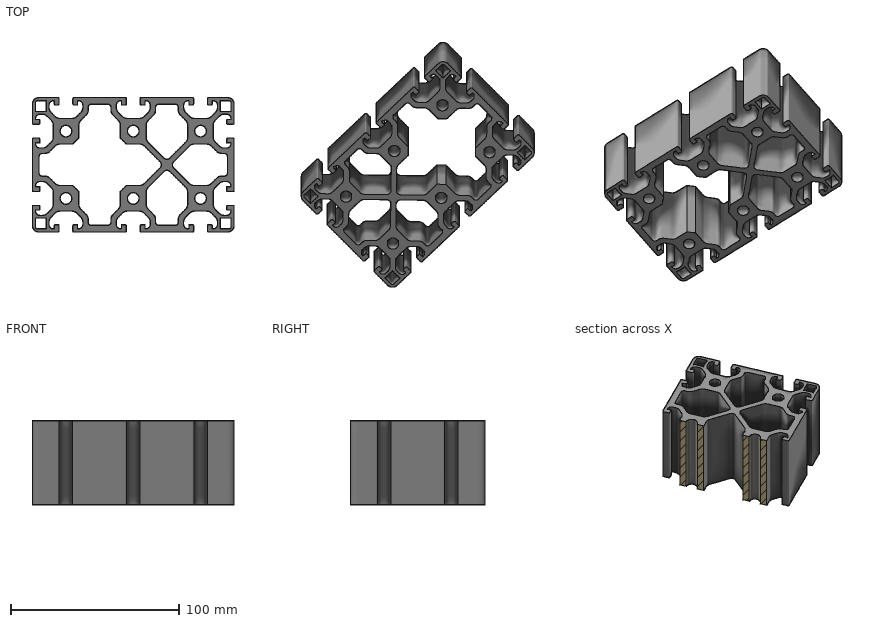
import cadquery as cq
import math

pitch = 40.0
columns = 3
rows = 2
width = columns * pitch
depth = rows * pitch
length = 50.0
half_pitch = pitch / 2
corner_radius = 4.0

slot_half_width = 4.05
slot_depth = 12.4
lip_depth = 4.5
lip_radius = 0.8
lip_outer_half_width = 7.0
skin = 2.0
undercut_half_width = 10.0
undercut_radius = 2.5
slot_floor_radius = 4.0
slot_flank_offset = 2.3

core_half = 7.75
core_hole_diameter = 6.8
core_chamfer = 3.7
web_thickness = 3.2
web_offset = web_thickness / math.sqrt(2)

wall = 4.1
cavity_half_width = half_pitch - core_half
cavity_end_half_width = 6.7
cavity_flank_offset = 2.5
cavity_end_radius = 1.8
cavity_bend_radius = 4.0
apex_radius = 2.6

tube_side = 6.25
tube_radius = 1.0


def flat(vector):
    """The (x, y) pair of a vector."""
    return (vector.x, vector.y)


def rounded_prism(corners):
    """Extrude a closed outline of (x, y, radius) corners joined by straight sides."""
    stretches = []
    for i, (x, y, radius) in enumerate(corners):
        here = cq.Vector(x, y)
        if radius == 0:
            stretches.append((here,))
            continue
        before_x, before_y, _ = corners[i - 1]
        after_x, after_y, _ = corners[(i + 1) % len(corners)]
        back = (cq.Vector(before_x, before_y) - here).normalized()
        ahead = (cq.Vector(after_x, after_y) - here).normalized()
        half_angle = back.getAngle(ahead) / 2
        to_tangent = radius / math.tan(half_angle)
        to_middle = radius / math.sin(half_angle) - radius
        middle = here + (back + ahead).normalized() * to_middle
        stretches.append((here + back * to_tangent, middle, here + ahead * to_tangent))

    path = cq.Workplane("XY").moveTo(*flat(stretches[0][-1]))
    for stretch in stretches[1:] + stretches[:1]:
        path = path.lineTo(*flat(stretch[0]))
        if len(stretch) > 1:
            path = path.threePointArc(flat(stretch[1]), flat(stretch[2]))
    return path.close().extrude(length)


def mirrored(side):
    """The -X image of a half outline, in reverse order so that it can follow the +X half."""
    return [(-x, y, radius) for x, y, radius in reversed(side)]


def placed(shape, x, y, angle):
    """Turn a shape about the Z axis, then move it to (x, y)."""
    return shape.rotate((0, 0, 0), (0, 0, 1), angle).translate((x, y, 0))


def slot_side(inner_lip_radius):
    """+X half of a T-slot whose face lies on Y = 0, running from mouth to floor."""
    flank_sum = half_pitch - slot_flank_offset
    mouth_edge = slot_half_width + 2 * lip_radius
    return [
        (mouth_edge, 0, 0),
        (slot_half_width, 0, lip_radius),
        (slot_half_width, -lip_depth, lip_radius),
        (lip_outer_half_width, -lip_depth, inner_lip_radius),
        (lip_outer_half_width, -skin, 0),
        (undercut_half_width, -skin, undercut_radius),
        (undercut_half_width, undercut_half_width - flank_sum, slot_floor_radius),
        (flank_sum - slot_depth, -slot_depth, slot_floor_radius),
    ]


def slot(left_lip_radius, right_lip_radius):
    """T-slot cutter open towards +Y; the radii round the inner edges of its two lips."""
    right_side = slot_side(right_lip_radius)
    left_side = mirrored(slot_side(left_lip_radius))
    return rounded_prism(right_side + left_side)


def cavity_mouth(start):
    """Cavity from Y = start out to the outer wall, narrowing between two slots."""
    flank_sum = pitch - cavity_flank_offset
    right_side = [
        (cavity_half_width, start, 0),
        (cavity_half_width, flank_sum - cavity_half_width, cavity_bend_radius),
        (cavity_end_half_width, flank_sum - cavity_end_half_width, cavity_bend_radius),
        (cavity_end_half_width, pitch - wall, cavity_end_radius),
    ]
    return rounded_prism(right_side + mirrored(right_side))


def cavity_funnel():
    """Cavity between two crossing webs, from its apex out to the core axes."""
    apex = (0, web_offset, apex_radius)
    right_side = [
        (cavity_half_width, cavity_half_width + web_offset, cavity_bend_radius),
        (cavity_half_width, half_pitch, 0),
    ]
    return rounded_prism([apex] + right_side + mirrored(right_side))


def cut_slots(body):
    """T-slots on all four sides; only lips next to a profile corner have a round inner edge."""
    for column in range(columns):
        left = lip_radius if column == 0 else 0
        right = lip_radius if column == columns - 1 else 0
        x = (column + 0.5) * pitch - width / 2
        body = body.cut(placed(slot(left, right), x, depth / 2, 0))
        body = body.cut(placed(slot(right, left), x, -depth / 2, 180))
    for row in range(rows):
        low = lip_radius if row == 0 else 0
        high = lip_radius if row == rows - 1 else 0
        y = (row + 0.5) * pitch - depth / 2
        body = body.cut(placed(slot(low, high), -width / 2, y, 90))
        body = body.cut(placed(slot(high, low), width / 2, y, -90))
    return body


def cut_webbed_cell(body):
    """Three closed cavities around the web crossing of the +X cell."""
    cavity = cavity_mouth(half_pitch).union(cavity_funnel())
    for angle in (0, 180, -90):
        body = body.cut(placed(cavity, half_pitch, 0, angle))
    return body


def cut_open_cell(body):
    """One large cavity filling the -X cell and reaching to the web crossing of the +X cell."""
    reach = 2 * cavity_half_width + core_chamfer
    diamond = rounded_prism([(reach, 0, 0), (0, reach, 0), (-reach, 0, 0), (0, -reach, 0)])
    cavity = placed(diamond, -half_pitch, 0, 0)
    for angle in (0, 180, 90):
        cavity = cavity.union(placed(cavity_mouth(0), -half_pitch, 0, angle))
    bridge = cq.Workplane("XY").box(half_pitch, 2 * cavity_half_width, length, centered=(True, True, False))
    cavity = cavity.union(placed(bridge, -half_pitch / 2, 0, 0))
    cavity = cavity.union(placed(cavity_funnel(), half_pitch, 0, 90))
    return body.cut(cavity.clean())


def cut_core_holes(body):
    """Round hole through every core."""
    return (
        body.faces(">Z")
        .workplane(origin=(0, 0, length))
        .rarray(pitch, pitch, columns, rows)
        .hole(core_hole_diameter)
    )


def cut_corner_tubes(body):
    """Square hole along each profile corner, rounded only next to the outer corner."""
    half = tube_side / 2
    x = width / 2 - skin - half
    y = depth / 2 - skin - half
    tube = rounded_prism([(half, half, tube_radius), (-half, half, 0), (-half, -half, 0), (half, -half, 0)])
    body = body.cut(placed(tube, x, y, 0))
    body = body.cut(placed(tube, -x, y, 90))
    body = body.cut(placed(tube, -x, -y, 180))
    return body.cut(placed(tube, x, -y, 270))


block = cq.Workplane("XY").box(width, depth, length, centered=(True, True, False))
block = block.edges("|Z").fillet(corner_radius)
profile = cut_slots(block)
profile = cut_webbed_cell(profile)
profile = cut_open_cell(profile)
profile = cut_core_holes(profile)
result = cut_corner_tubes(profile)